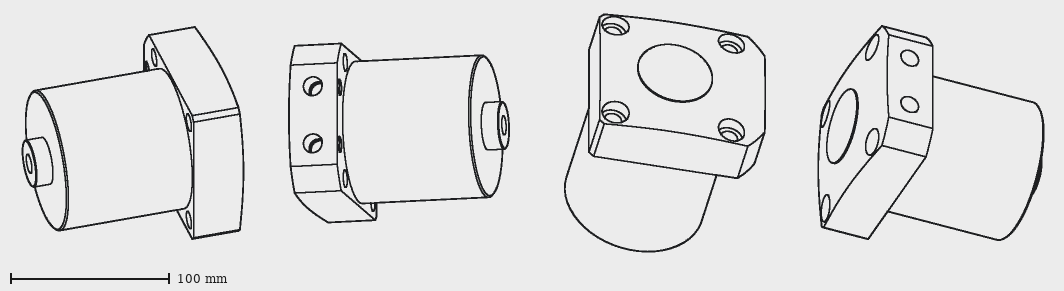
import cadquery as cq

flange_left = 59.5
flange_height = 95.0
flange_half = flange_height / 2
corner_radius = 67.9
corner_chamfer = 3.0
back_y = 37.1
pad_radius = 24.1
pad_height = 0.9
cone_drop = 5.9

body_radius = 44.9
body_length = 82.8
body_chamfer = 1.0
rod_diameter = 30.0
rod_radius = rod_diameter / 2
overall_length = 131.0
rod_end = overall_length - back_y
rod_chamfer = 0.5

bolt_offset = 37.5
bolt_radius = 5.5
counterbore_radius = 8.5
counterbore_floor_y = 24.9

thread_radius = 6.0
pilot_radius = 5.5
pilot_extra_depth = 3.3
rod_thread_depth = 18.3
port_thread_depth = 15.7
port_y = 15.9
port_spacing = 36.8
port_z = port_spacing / 2
seal_x = -52.4
seal_radius = 5.0
seal_depth = 1.0


def y_cylinder(radius, start_y, end_y, x=0, z=0):
    """Cylinder parallel to Y between two Y positions."""
    return cq.Workplane(
        cq.Solid.makeCylinder(radius, end_y - start_y, cq.Vector(x, start_y, z), cq.Vector(0, 1, 0))
    )


def threaded_hole(mouth, direction, depth):
    """Cutter for a thread that ends in a slightly narrower pilot hole."""
    thread = cq.Solid.makeCylinder(thread_radius, depth, mouth, direction)
    pilot = cq.Solid.makeCylinder(pilot_radius, depth + pilot_extra_depth, mouth, direction)
    return cq.Workplane(thread.fuse(pilot))


def make_flange():
    """Plate with two turned corners, two chamfered corners and a conical back."""
    plate = (
        cq.Workplane("XY")
        .box(flange_left + flange_half, back_y, 2 * flange_half)
        .translate(((flange_half - flange_left) / 2, back_y / 2, 0))
        .edges("|Y and >X")
        .chamfer(corner_chamfer)
    )
    cone_top_y = back_y - pad_height
    turned_blank = (
        cq.Workplane("XY")
        .polyline([
            (0, 0),
            (corner_radius, 0),
            (corner_radius, cone_top_y - cone_drop),
            (pad_radius, cone_top_y),
            (pad_radius, back_y),
            (0, back_y),
        ])
        .close()
        .revolve(360, (0, 0, 0), (0, 1, 0))
    )
    return plate.intersect(turned_blank)


body = y_cylinder(body_radius, -body_length, 0).faces("<Y").chamfer(body_chamfer)
rod = y_cylinder(rod_radius, -rod_end, 0).faces("<Y").chamfer(rod_chamfer)
result = make_flange().union(body).union(rod)

for x in (-bolt_offset, bolt_offset):
    for z in (-bolt_offset, bolt_offset):
        result = result.cut(y_cylinder(bolt_radius, 0, back_y, x, z))
        result = result.cut(y_cylinder(counterbore_radius, counterbore_floor_y, back_y, x, z))

for z in (-port_z, port_z):
    port_mouth = cq.Vector(-flange_left, port_y, z)
    result = result.cut(threaded_hole(port_mouth, cq.Vector(1, 0, 0), port_thread_depth))
    result = result.cut(y_cylinder(seal_radius, 0, seal_depth, seal_x, z))

rod_tip = cq.Vector(0, -rod_end, 0)
result = result.cut(threaded_hole(rod_tip, cq.Vector(0, 1, 0), rod_thread_depth))